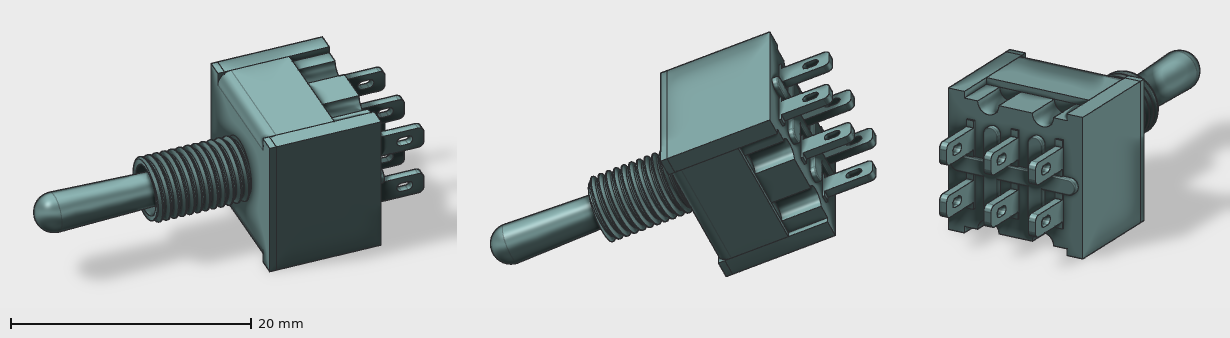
import cadquery as cq
import math


HOUSING_WIDTH = 13.0
HOUSING_HEIGHT = 12.7
HOUSING_DEPTH = 10.0
CORE_WIDTH = 9.9

SHEET_THICKNESS = 0.6
BEND_RADIUS = 1.2
LEG_LENGTH = 6.4

GROOVE_RADIUS = 1.02
GROOVE_OFFSET = 2.65

TERMINAL_COLUMNS = 3
TERMINAL_PITCH = 4.3
TERMINAL_ROW_OFFSET = 2.35
TERMINAL_LENGTH = 4.6
TERMINAL_THICKNESS = 0.7
TERMINAL_WIDTH = 1.98
TERMINAL_CORNER_RADIUS = 0.53
SHOULDER_WIDTH = 3.25
SHOULDER_HEIGHT = 0.2
EYELET_LENGTH = 1.42
EYELET_WIDTH = 0.83
EYELET_DISTANCE = 2.88

RIB_WIDTH = 1.42
RIB_HEIGHT = 0.5
RIB_EDGE_RADIUS = 0.1
LONG_RIB_LENGTH = 12.13
CROSS_RIB_LENGTH = 7.75

BUSHING_LENGTH = 8.5
BORE_RADIUS = 2.2
THREAD_ROOT_RADIUS = 2.48
THREAD_CREST_RADIUS = 2.85
THREAD_PITCH = 8.43 / 12
THREAD_BASE_WIDTH = 0.55
THREAD_CREST_WIDTH = 0.1
THREAD_EMBED = 0.03
THREAD_START = 0.35

LEVER_REACH = 18.45
LEVER_NECK_RADIUS = 1.5
LEVER_TIP_RADIUS = 1.72


def make_frame_legs():
    """Bent strip: a front wall with two legs folded back over top and bottom."""
    outside = (
        cq.Workplane("XY")
        .box(CORE_WIDTH, LEG_LENGTH, HOUSING_HEIGHT, centered=(True, False, True))
        .edges("|X and <Y")
        .fillet(BEND_RADIUS)
    )
    inside = (
        cq.Workplane("XY", origin=(0, SHEET_THICKNESS, 0))
        .box(
            CORE_WIDTH,
            LEG_LENGTH - SHEET_THICKNESS,
            HOUSING_HEIGHT - 2 * SHEET_THICKNESS,
            centered=(True, False, True),
        )
        .edges("|X and <Y")
        .fillet(BEND_RADIUS - SHEET_THICKNESS)
    )
    return outside.cut(inside)


def make_side_slabs(front, rear):
    """Two full-height slabs left and right of the core, from Y = front to rear."""
    slab_width = (HOUSING_WIDTH - CORE_WIDTH) / 2
    slab_offset = (CORE_WIDTH + slab_width) / 2
    return (
        cq.Workplane("XY", origin=(0, front, 0))
        .pushPoints([(-slab_offset, 0), (slab_offset, 0)])
        .box(slab_width, rear - front, HOUSING_HEIGHT, centered=(True, False, True))
    )


def make_base_block():
    """Core that fills the inside of the frame, with grooves in its exposed rear part."""
    core_height = HOUSING_HEIGHT - 2 * SHEET_THICKNESS
    core = (
        cq.Workplane("XY", origin=(0, SHEET_THICKNESS, 0))
        .box(
            CORE_WIDTH,
            HOUSING_DEPTH - SHEET_THICKNESS,
            core_height,
            centered=(True, False, True),
        )
        .edges("|X and <Y")
        .fillet(BEND_RADIUS - SHEET_THICKNESS)
    )
    grooves = (
        cq.Workplane("XZ", origin=(0, HOUSING_DEPTH, 0))
        .rect(2 * GROOVE_OFFSET, core_height, forConstruction=True)
        .vertices()
        .circle(GROOVE_RADIUS)
        .extrude(HOUSING_DEPTH - LEG_LENGTH)
    )
    return core.cut(grooves).union(make_side_slabs(SHEET_THICKNESS, HOUSING_DEPTH))


def make_ribs():
    """One long rib and two cross ribs that separate the terminals."""
    rear_plane = cq.Workplane("XZ", origin=(0, HOUSING_DEPTH, 0))
    long_rib = rear_plane.slot2D(LONG_RIB_LENGTH, RIB_WIDTH).extrude(-RIB_HEIGHT)
    cross_ribs = (
        rear_plane
        .pushPoints([(-TERMINAL_PITCH / 2, 0), (TERMINAL_PITCH / 2, 0)])
        .slot2D(CROSS_RIB_LENGTH, RIB_WIDTH, 90)
        .extrude(-RIB_HEIGHT)
    )
    return long_rib.union(cross_ribs).faces(">Y").edges().fillet(RIB_EDGE_RADIUS)


def make_terminal(x, z):
    """Flat solder lug with a shoulder at its foot and a slotted eyelet."""
    side_plane = cq.Workplane("YZ", origin=(x, HOUSING_DEPTH, z))
    lug = (
        side_plane
        .center(TERMINAL_LENGTH / 2, 0)
        .rect(TERMINAL_LENGTH, TERMINAL_WIDTH)
        .extrude(TERMINAL_THICKNESS / 2, both=True)
        .edges("|X and >Y")
        .fillet(TERMINAL_CORNER_RADIUS)
    )
    shoulder = (
        side_plane
        .center(SHOULDER_HEIGHT / 2, 0)
        .rect(SHOULDER_HEIGHT, SHOULDER_WIDTH)
        .extrude(TERMINAL_THICKNESS / 2, both=True)
    )
    eyelet = (
        side_plane
        .center(EYELET_DISTANCE, 0)
        .slot2D(EYELET_LENGTH, EYELET_WIDTH)
        .extrude(TERMINAL_THICKNESS, both=True)
    )
    return lug.union(shoulder).cut(eyelet)


def make_bushing():
    """Solid bushing with a right-handed thread that runs out at both end faces."""
    overrun = 2 * THREAD_PITCH
    start = THREAD_START - overrun
    helix = cq.Wire.makeHelix(
        THREAD_PITCH,
        BUSHING_LENGTH + 2 * overrun,
        THREAD_ROOT_RADIUS,
        center=cq.Vector(0, 0, start),
    )
    foot_radius = THREAD_ROOT_RADIUS - THREAD_EMBED
    flank_slope = (THREAD_BASE_WIDTH - THREAD_CREST_WIDTH) / (THREAD_CREST_RADIUS - THREAD_ROOT_RADIUS)
    foot_width = THREAD_BASE_WIDTH + flank_slope * THREAD_EMBED
    ridge = (
        cq.Workplane("XZ")
        .polyline([
            (foot_radius, start - foot_width / 2),
            (THREAD_CREST_RADIUS, start - THREAD_CREST_WIDTH / 2),
            (THREAD_CREST_RADIUS, start + THREAD_CREST_WIDTH / 2),
            (foot_radius, start + foot_width / 2),
        ])
        .close()
        .sweep(cq.Workplane(helix), isFrenet=True)
    )
    rod = (
        cq.Workplane("XY", origin=(0, 0, -2 * overrun))
        .circle(THREAD_ROOT_RADIUS)
        .extrude(BUSHING_LENGTH + 4 * overrun)
    )
    envelope = cq.Workplane("XY").circle(2 * THREAD_CREST_RADIUS).extrude(BUSHING_LENGTH)
    return rod.union(ridge).intersect(envelope).rotate((0, 0, 0), (1, 0, 0), 90)


def make_lever():
    """Tapered round lever with a ball end, rooted on the front of the base."""
    ball_center = LEVER_REACH - LEVER_TIP_RADIUS
    taper = (LEVER_TIP_RADIUS - LEVER_NECK_RADIUS) / (ball_center - BUSHING_LENGTH)
    foot_radius = LEVER_NECK_RADIUS - taper * (BUSHING_LENGTH + SHEET_THICKNESS)
    arc_middle = LEVER_TIP_RADIUS * math.sqrt(0.5)
    return (
        cq.Workplane("XY")
        .moveTo(0, SHEET_THICKNESS)
        .lineTo(-foot_radius, SHEET_THICKNESS)
        .lineTo(-LEVER_TIP_RADIUS, -ball_center)
        .threePointArc((-arc_middle, -ball_center - arc_middle), (0, -LEVER_REACH))
        .close()
        .revolve(360, (0, 0, 0), (0, 1, 0))
    )


def make_frame():
    """Front plate with side ears and folded legs, carrying the threaded bushing."""
    bore = (
        cq.Workplane("XZ", origin=(0, SHEET_THICKNESS, 0))
        .circle(BORE_RADIUS)
        .extrude(SHEET_THICKNESS + BUSHING_LENGTH)
    )
    plate = make_frame_legs().union(make_side_slabs(0, SHEET_THICKNESS))
    return plate.union(make_bushing()).cut(bore)


def make_base():
    """Insulating base with its barrier ribs, terminals and lever."""
    base = make_base_block().union(make_ribs())
    for column in range(TERMINAL_COLUMNS):
        x = (column - (TERMINAL_COLUMNS - 1) / 2) * TERMINAL_PITCH
        for z in (-TERMINAL_ROW_OFFSET, TERMINAL_ROW_OFFSET):
            base = base.union(make_terminal(x, z))
    return base.union(make_lever())


frame = make_frame()
base = make_base()

result = cq.Compound.makeCompound([frame.solids().val(), base.solids().val()])